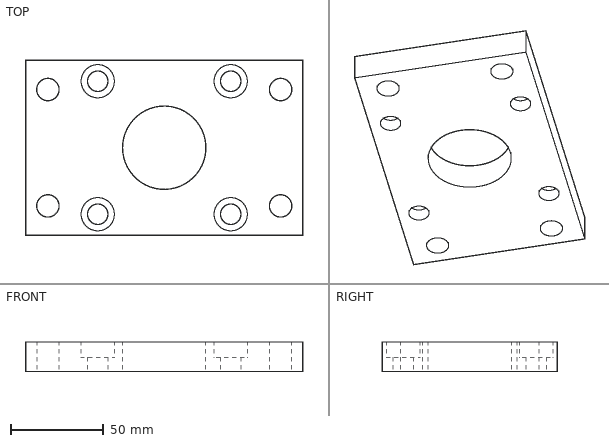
import cadquery as cq

length = 150.0
width = 95.0
thickness = 16.0

bore_diameter = 45.0

mount_spacing_x = 126.0
mount_spacing_y = 63.0
mount_diameter = 12.0

screw_spacing = 72.0
screw_diameter = 11.0
counterbore_diameter = 18.0
counterbore_depth = 8.5

plate = cq.Workplane("XY").box(length, width, thickness, centered=(True, True, False))

plate = plate.faces(">Z").workplane(origin=(0, 0, thickness)).hole(bore_diameter)

plate = (
    plate.faces(">Z")
    .workplane(origin=(0, 0, thickness))
    .rarray(mount_spacing_x, mount_spacing_y, 2, 2)
    .hole(mount_diameter)
)

result = (
    plate.faces(">Z")
    .workplane(origin=(0, 0, thickness))
    .rarray(screw_spacing, screw_spacing, 2, 2)
    .cboreHole(screw_diameter, counterbore_diameter, counterbore_depth)
)